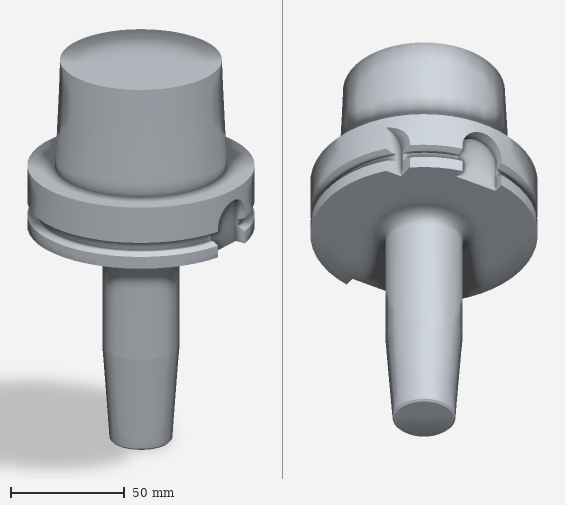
import cadquery as cq

total_height = 180.0
taper_length = 50.0
flange_thickness = 29.0
nose_cone_top = 44.5
flange_top = total_height - taper_length
flange_bottom = flange_top - flange_thickness

taper_top_radius = 35.6
taper_base_radius = 38.0
flange_radius = 100.0 / 2
shank_radius = 34.0 / 2
nose_radius = 13.9
nose_chamfer = 0.9
shank_fillet = 4.9

groove_radius = 46.0
groove_bottom = 108.0
groove_top = 111.8
groove_chamfer = 1.5
groove_chamfer_width = 2.5

keyway_width = 20.2
keyway_top = 125.0
keyway_floor = 44.1
notch_floor = 31.7
notch_center_y = 41.2


def make_holder():
    """Revolve the taper, flange, shank and nose as one profile."""
    lip_radius = flange_radius - groove_chamfer_width
    fillet_radius_out = shank_radius + shank_fillet
    fillet_mid = shank_fillet * (1 - 0.5**0.5)
    profile = (
        cq.Workplane("XZ")
        .moveTo(0, 0)
        .lineTo(nose_radius - nose_chamfer, 0)
        .lineTo(nose_radius, nose_chamfer)
        .lineTo(shank_radius, nose_cone_top)
        .lineTo(shank_radius, flange_bottom - shank_fillet)
        .threePointArc(
            (shank_radius + fillet_mid, flange_bottom - fillet_mid),
            (fillet_radius_out, flange_bottom),
        )
        .lineTo(flange_radius, flange_bottom)
        .lineTo(flange_radius, groove_bottom - groove_chamfer)
        .lineTo(lip_radius, groove_bottom)
        .lineTo(groove_radius, groove_bottom)
        .lineTo(groove_radius, groove_top)
        .lineTo(lip_radius, groove_top)
        .lineTo(flange_radius, groove_top + groove_chamfer)
        .lineTo(flange_radius, flange_top)
        .lineTo(taper_base_radius, flange_top)
        .lineTo(taper_top_radius, total_height)
        .lineTo(0, total_height)
        .close()
    )
    return profile.revolve(360, (0, 0, 0), (0, 1, 0))


def keyway_cutter(center_y, floor_distance, side):
    """Round-topped cutter from the floor plane outward; side is +1 or -1 along X."""
    half_width = keyway_width / 2
    arch_center = keyway_top - half_width
    return (
        cq.Workplane("YZ", origin=(side * floor_distance, center_y, 0))
        .moveTo(-half_width, flange_bottom)
        .lineTo(-half_width, arch_center)
        .threePointArc((0, keyway_top), (half_width, arch_center))
        .lineTo(half_width, flange_bottom)
        .close()
        .extrude(side * flange_radius)
    )


holder = make_holder()

for side in (-1, 1):
    holder = holder.cut(keyway_cutter(0, keyway_floor, side))

holder = holder.cut(keyway_cutter(notch_center_y, notch_floor, -1))

result = cq.Compound.makeCompound([holder.val()])